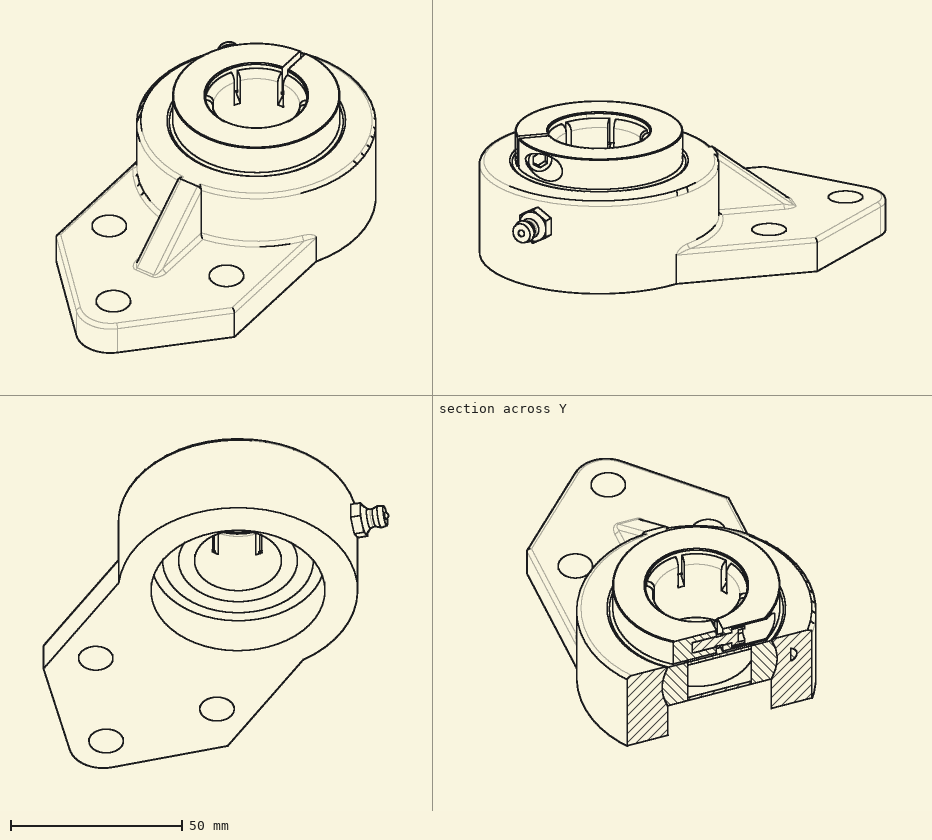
import cadquery as cq
import math


boss_radius = 35.0
boss_height = 28.5
flange_half_width = 31.5
flange_thickness = 10.3
overall_length = 121.0
flange_tip_radius = 10.0
flange_corner_y = -57.7
bolt_hole_diameter = 10.0
side_hole_x = 20.7
side_hole_y = -46.0
tip_hole_y = -74.3
rib_width = 8.2
rib_end_y = -58.1
edge_round = 1.2
mouth_diameter = 52.1

bearing_center_z = 20.1
outer_ring_width = 16.0
outer_ring_end_radius = 25.4
outer_ring_bore = 44.0
seal_thickness = 1.5
inner_ring_diameter = 34.7
shaft_bore = 25.4
neck_radius = 14.9
neck_top_z = 36.2
bore_round = 2.0
ring_slot_count = 6
slot_width = 1.9
slot_bottom_z = 25.5
slot_floor_angle = 35.0

collar_radius = 24.4
collar_bottom_z = 28.7
collar_top_z = 38.0
collar_edge_chamfer = 0.2
collar_bore_chamfer = 0.4
screw_y = 19.7
screw_head_diameter = 7.0
screw_head_length = 4.0
screw_head_face_x = -7.9
screw_shank_diameter = 4.0
screw_end_x = 8.5
counterbore_diameter = 7.9
socket_across_flats = 4.1
socket_depth = 2.0

fitting_angle = 135.0
fitting_thread_diameter = 6.0
fitting_thread_start = 29.6
fitting_hex_end = 37.9
fitting_hex_flats = 9.0
nipple_shoulder_radius = 2.9
nipple_shoulder_start = 39.3
nipple_groove_radius = 2.7
nipple_groove_start = 40.3
nipple_groove_end = 41.0
nipple_head_radius = 3.3
nipple_head_widest = 42.6
nipple_face_radius = 2.9
nipple_face = 44.3
tip_ball_radius = 1.0

flange_tip_y = boss_radius - overall_length
outer_ring_bottom_z = bearing_center_z - outer_ring_width / 2
outer_ring_top_z = bearing_center_z + outer_ring_width / 2
bearing_sphere_radius = math.hypot(outer_ring_end_radius, outer_ring_width / 2)
screw_z = (collar_bottom_z + collar_top_z) / 2
flats_to_corners = 2 / math.sqrt(3)

margin = 0.1


def cylinder(radius, bottom_z, top_z):
    return cq.Workplane("XY").workplane(offset=bottom_z).circle(radius).extrude(top_z - bottom_z)


def tube(outer_radius, inner_radius, bottom_z, top_z):
    return cylinder(outer_radius, bottom_z, top_z).cut(cylinder(inner_radius, bottom_z, top_z))


def bearing_sphere():
    return cq.Workplane("XY").sphere(bearing_sphere_radius).translate((0, 0, bearing_center_z))


def along_x(diameter, start_x, end_x):
    """Cylinder on the clamp screw axis."""
    return (
        cq.Workplane("YZ", origin=(start_x, screw_y, screw_z))
        .circle(diameter / 2)
        .extrude(end_x - start_x)
    )


def make_flange():
    """Plate with straight sides that taper, tangent to a round tip."""
    tip_center_y = flange_tip_y + flange_tip_radius
    corner_rise = flange_corner_y - tip_center_y
    corner_distance = math.hypot(flange_half_width, corner_rise)
    tangent_angle = math.atan2(corner_rise, flange_half_width) - math.acos(flange_tip_radius / corner_distance)
    tangent_x = flange_tip_radius * math.cos(tangent_angle)
    tangent_y = tip_center_y + flange_tip_radius * math.sin(tangent_angle)
    return (
        cq.Workplane("XY")
        .moveTo(-flange_half_width, 0)
        .lineTo(-flange_half_width, flange_corner_y)
        .lineTo(-tangent_x, tangent_y)
        .threePointArc((0, flange_tip_y), (tangent_x, tangent_y))
        .lineTo(flange_half_width, flange_corner_y)
        .lineTo(flange_half_width, 0)
        .close()
        .extrude(flange_thickness)
    )


def make_rib():
    """Triangular web from the boss top down to the flange, with its upper long edges rounded."""
    rib = (
        cq.Workplane("YZ")
        .moveTo(0, 0)
        .lineTo(0, boss_height)
        .lineTo(-boss_radius, boss_height)
        .lineTo(rib_end_y, flange_thickness)
        .lineTo(rib_end_y, 0)
        .close()
        .extrude(rib_width / 2, both=True)
    )
    above_flange = cq.selectors.BoxSelector(
        (-rib_width, rib_end_y - margin, flange_thickness - margin),
        (rib_width, margin, boss_height + margin),
        boundingbox=True,
    )
    return rib.edges(above_flange).edges("#X").edges("not |Z").fillet(edge_round)


def make_housing(fitting):
    boss = cylinder(boss_radius, 0, boss_height).faces(">Z").edges().fillet(edge_round)
    body = make_flange().union(boss).union(make_rib())

    flange_top = cq.selectors.BoxSelector(
        (-boss_radius, flange_tip_y - margin, flange_thickness - margin),
        (boss_radius, boss_radius, flange_thickness + margin),
        boundingbox=True,
    )
    body = body.edges(flange_top).fillet(edge_round)

    bolt_hole_places = [(-side_hole_x, side_hole_y), (side_hole_x, side_hole_y), (0, tip_hole_y)]
    bolt_holes = (
        cq.Workplane("XY").pushPoints(bolt_hole_places).circle(bolt_hole_diameter / 2).extrude(flange_thickness)
    )

    mouth = (
        cq.Workplane("XY")
        .workplane(offset=outer_ring_top_z)
        .circle(outer_ring_end_radius)
        .workplane(offset=boss_height - outer_ring_top_z)
        .circle(mouth_diameter / 2)
        .loft()
    )
    bore = cylinder(outer_ring_end_radius, 0, outer_ring_top_z)
    return body.cut(bolt_holes).cut(bore).cut(mouth).cut(bearing_sphere()).cut(fitting)


def make_outer_ring():
    """Spherical outside, cut off flat at both ends."""
    ends = tube(bearing_sphere_radius, outer_ring_bore / 2, outer_ring_bottom_z, outer_ring_top_z)
    return bearing_sphere().intersect(ends)


def make_seal(bottom_z):
    return tube(outer_ring_bore / 2, inner_ring_diameter / 2, bottom_z, bottom_z + seal_thickness)


def make_ring_slot(angle):
    """Slot cut down through the neck, its floor sloping up away from the bore."""
    bore_radius = shaft_bore / 2
    inner_x = bore_radius / 2
    floor_slope = math.tan(math.radians(slot_floor_angle))
    outer_x = inner_ring_diameter / 2
    return (
        cq.Workplane("XZ")
        .moveTo(inner_x, slot_bottom_z - (bore_radius - inner_x) * floor_slope)
        .lineTo(outer_x, slot_bottom_z + (outer_x - bore_radius) * floor_slope)
        .lineTo(outer_x, collar_top_z)
        .lineTo(inner_x, collar_top_z)
        .close()
        .extrude(slot_width / 2, both=True)
        .rotate((0, 0, 0), (0, 0, 1), angle)
    )


def make_inner_ring():
    """Race with a slotted neck that the collar squeezes onto the shaft."""
    ring = cylinder(inner_ring_diameter / 2, outer_ring_bottom_z, outer_ring_top_z)
    ring = ring.union(cylinder(neck_radius, outer_ring_top_z, neck_top_z))
    ring = ring.cut(cylinder(shaft_bore / 2, outer_ring_bottom_z, neck_top_z))
    ring = ring.faces(">Z").edges(cq.selectors.RadiusNthSelector(0)).fillet(bore_round)
    for index in range(ring_slot_count):
        ring = ring.cut(make_ring_slot(90 + index * 360 / ring_slot_count))
    return ring


def make_screw():
    """Socket-head clamp screw lying across the collar slot."""
    seat_x = screw_head_face_x + screw_head_length
    head = along_x(screw_head_diameter, screw_head_face_x, seat_x)
    shank = along_x(screw_shank_diameter, seat_x, screw_end_x)
    socket = (
        cq.Workplane("YZ", origin=(screw_head_face_x, screw_y, screw_z))
        .transformed(rotate=(0, 0, 90))
        .polygon(6, socket_across_flats * flats_to_corners)
        .extrude(socket_depth)
    )
    return head.union(shank).cut(socket)


def make_collar():
    """Clamp collar, split on the +Y side and crossed by the screw hole."""
    collar = tube(collar_radius, neck_radius, collar_bottom_z, collar_top_z)
    collar = collar.faces(">Z").edges(cq.selectors.RadiusNthSelector(0)).chamfer(collar_bore_chamfer)
    collar = collar.faces(">Z").edges(cq.selectors.RadiusNthSelector(-1)).chamfer(collar_edge_chamfer)
    clamp_slot = cq.Workplane("XY").box(
        slot_width, collar_radius, collar_top_z, centered=(True, False, False)
    )
    counterbore = along_x(counterbore_diameter, -collar_radius, screw_head_face_x + screw_head_length)
    screw_hole = along_x(screw_shank_diameter, screw_head_face_x, screw_end_x)
    return collar.cut(clamp_slot).cut(counterbore).cut(screw_hole)


def make_fitting():
    """Grease fitting: a turned thread and ball-tipped nipple with a hexagon at the boss surface."""
    turned = (
        cq.Workplane("XY")
        .moveTo(0, fitting_thread_start)
        .lineTo(fitting_thread_diameter / 2, fitting_thread_start)
        .lineTo(fitting_thread_diameter / 2, fitting_hex_end)
        .lineTo(fitting_hex_flats / 2, fitting_hex_end)
        .lineTo(nipple_shoulder_radius, nipple_shoulder_start)
        .lineTo(nipple_groove_radius, nipple_groove_start)
        .lineTo(nipple_groove_radius, nipple_groove_end)
        .lineTo(nipple_head_radius, nipple_head_widest)
        .lineTo(nipple_face_radius, nipple_face)
        .lineTo(tip_ball_radius, nipple_face)
        .radiusArc((0, nipple_face + tip_ball_radius), -tip_ball_radius)
        .close()
        .revolve(360, (0, 0, 0), (0, 1, 0))
    )
    hexagon = (
        cq.Workplane("XZ", origin=(0, boss_radius, 0))
        .transformed(rotate=(0, 0, 90))
        .polygon(6, fitting_hex_flats * flats_to_corners)
        .extrude(boss_radius - fitting_hex_end)
    )
    return turned.union(hexagon).rotate((0, 0, 0), (0, 0, 1), fitting_angle - 90).translate((0, 0, bearing_center_z))


fitting = make_fitting()
housing = make_housing(fitting)
outer_ring = make_outer_ring()
inner_ring = make_inner_ring()
collar = make_collar()
screw = make_screw()

seal_bottoms = [outer_ring_top_z - seal_thickness, outer_ring_bottom_z]
seals = [make_seal(bottom_z).val() for bottom_z in seal_bottoms]

result = cq.Compound.makeCompound(
    [
        housing.val(),
        outer_ring.val(),
        inner_ring.val(),
        *seals,
        collar.val(),
        screw.val(),
        fitting.val(),
    ]
)